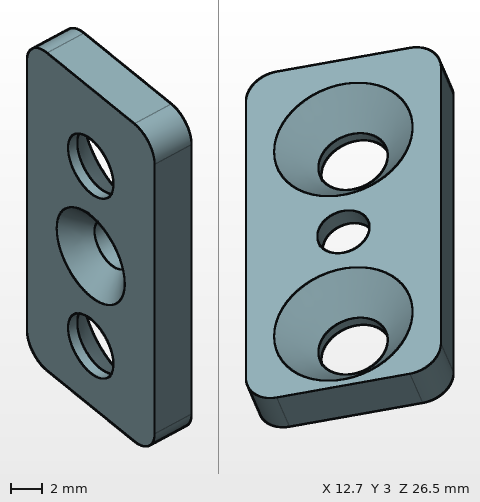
import cadquery as cq

width = 12.7
thickness = 3.0
height = 26.5
corner_radius = 2.01

row_center_z = -0.75
hole_spacing = 7.5
countersink_angle = 90.0

middle_hole_diameter = 3.4
middle_countersink_diameter = 6.75

outer_hole_diameter = 4.5
outer_land_depth = 0.75
outer_countersink_diameter = outer_hole_diameter + 2 * (thickness - outer_land_depth)

plate = cq.Workplane("XY").box(width, thickness, height).edges("|Y").fillet(corner_radius)


def hole_row_plane(solid, face):
    """Workplane on a plate face, centred on the hole row; local y is Z."""
    return solid.faces(face).workplane(origin=(0, 0, row_center_z))


with_middle_hole = hole_row_plane(plate, "<Y").cskHole(
    middle_hole_diameter, middle_countersink_diameter, countersink_angle
)

result = (
    hole_row_plane(with_middle_hole, ">Y")
    .pushPoints([(0, -hole_spacing), (0, hole_spacing)])
    .cskHole(outer_hole_diameter, outer_countersink_diameter, countersink_angle)
)